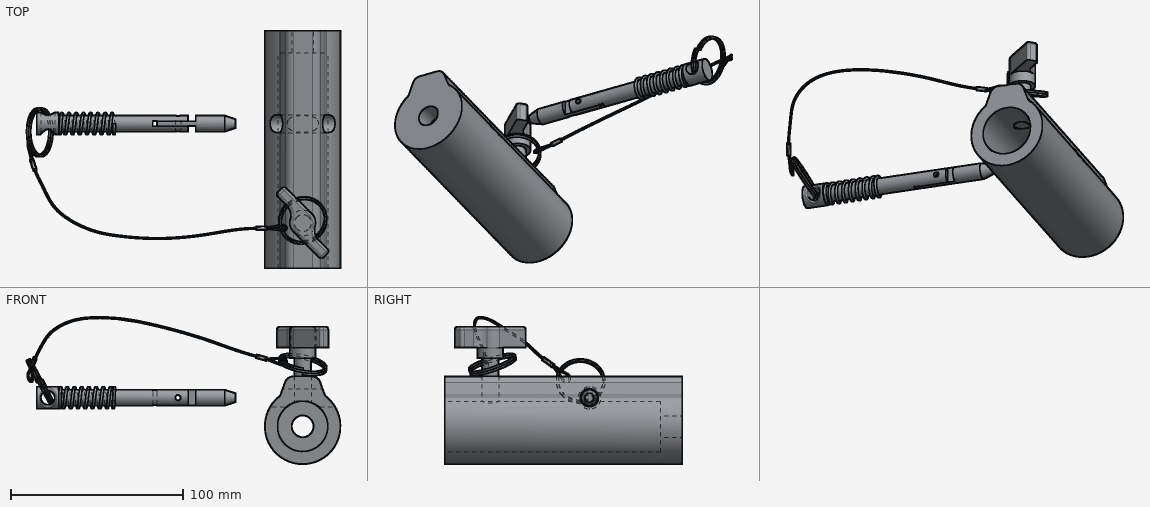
import cadquery as cq
import math


HOUSING_LENGTH = 138.0
HOUSING_RADIUS = 22.0
RIDGE_TOP_Z = 29.0
RIDGE_HALF_WIDTH = 9.0
RIDGE_FLANK_ANGLE = 20.0
RIDGE_TOP_FILLET = 5.0
RIDGE_ROOT_FILLET = 2.5
BORE_DIAMETER = 29.2
END_HOLE_DIAMETER = 12.5
END_WALL = 13.0
CROSS_HOLE_DIAMETER = 10.4
PIN_Y = 15.0
PIN_Z = 16.6

KNOB_Y = -42.5
KNOB_BASE_Z = 45.7
KNOB_HEIGHT = 12.1
HUB_DIAMETER = 15.0
WING_WIDTH = 7.0
WING_REACH = 22.8
WING_ANGLE = -45.0
WING_ROOT_FILLET = 8.0
WING_CORNER_FILLET = 1.8
KNOB_TOP_FILLET = 1.7
COLLAR_LENGTH = 6.2
STUD_DIAMETER = 9.8
STUD_END_Z = BORE_DIAMETER / 2

PIN_DIAMETER = 9.5
HEAD_DIAMETER = 13.0
HEAD_START_X = -154.3
HEAD_LENGTH = 12.7
HEAD_HOLE_X = -147.8
HEAD_HOLE_DIAMETER = 8.0
HEAD_HOLE_ROUNDING = 1.0
SLOT_START_X = -86.8
SLOT_WIDTH = 3.0
TONGUE_START_X = -84.5
PIVOT_X = -72.3
PIVOT_DIAMETER = 3.0
PIN_END_X = -66.4
TIP_START_X = -62.0
TAPER_START_X = -45.3
TIP_END_X = -38.9
TIP_END_DIAMETER = 5.2

SPRING_WIRE = 1.6
SPRING_PITCH = 4.2
SPRING_TURNS = 8.5
SPRING_POINTS_PER_TURN = 12
SPRING_RADIUS = (HEAD_DIAMETER - SPRING_WIRE) / 2

RING_WIRE = 1.35
RING_TURN_GAP = 0.03
RING_OUTER_DIAMETER = 28.4
RING_PITCH = RING_WIRE + RING_TURN_GAP
RING_TURNS = 2
RING_RADIUS = (RING_OUTER_DIAMETER - RING_WIRE) / 2
PIN_RING_CENTRE = (-152.45, 9.9, 26.3)
PIN_RING_TILT = 63.0
PIN_RING_START = (0, 1, 0)
KNOB_RING_CENTRE = (0.1, -41.1, 36.1)
KNOB_RING_SLOPE_X = -0.2
KNOB_RING_SLOPE_Y = 0.33
KNOB_RING_START = (0, -1, -KNOB_RING_SLOPE_Y)

CABLE_DIAMETER = 1.0
FERRULE_DIAMETER = 2.3
LOOP_RADIUS = 2.4
KNOB_FERRULE_OUTER = (-26.8, -45.7, 40.6)
KNOB_FERRULE_INNER = (-20.8, -45.6, 39.0)
KNOB_LOOP_CENTRE = (-11.9, -45.4, 37.6)
KNOB_LOOP_SIDE = (0, -0.6, 0.8)
PIN_FERRULE_OUTER = (-155.2, -12.0, 39.4)
PIN_FERRULE_INNER = (-157.2, -5.9, 35.0)
PIN_LOOP_CENTRE = (-158.1, 1.3, 28.3)
PIN_LOOP_SIDE = (0.52, -0.54, -0.67)
CABLE_WAYPOINTS = [
    (-56.0, -49.3, 50.3),
    (-81.3, -51.6, 57.6),
    (-107.0, -50.1, 62.5),
    (-118.5, -48.0, 63.07),
    (-132.2, -42.5, 61.6),
    (-143.7, -33.7, 56.3),
    (-150.9, -21.2, 47.7),
]


def rod_along_x(start, end, diameter):
    return cq.Workplane("YZ", origin=(start, PIN_Y, PIN_Z)).circle(diameter / 2).extrude(end - start)


def make_housing():
    flank = math.radians(RIDGE_FLANK_ANGLE)
    foot_half_width = RIDGE_HALF_WIDTH + RIDGE_TOP_Z * math.tan(flank)
    body = cq.Workplane("XZ").circle(HOUSING_RADIUS).extrude(HOUSING_LENGTH / 2, both=True)
    ridge = (
        cq.Workplane("XZ")
        .polyline([
            (-foot_half_width, 0),
            (-RIDGE_HALF_WIDTH, RIDGE_TOP_Z),
            (RIDGE_HALF_WIDTH, RIDGE_TOP_Z),
            (foot_half_width, 0),
        ])
        .close()
        .extrude(HOUSING_LENGTH / 2, both=True)
    )
    body = body.union(ridge)
    root_edges = cq.selectors.BoxSelector(
        (-HOUSING_RADIUS, -1, HOUSING_RADIUS / 2), (HOUSING_RADIUS, 1, HOUSING_RADIUS)
    )
    top_edges = cq.selectors.BoxSelector(
        (-HOUSING_RADIUS, -1, RIDGE_TOP_Z - 1), (HOUSING_RADIUS, 1, RIDGE_TOP_Z + 1)
    )
    body = body.edges("|Y").edges(top_edges).fillet(RIDGE_TOP_FILLET)
    body = body.edges("|Y").edges(root_edges).fillet(RIDGE_ROOT_FILLET)

    front = cq.Workplane("XZ", origin=(0, -HOUSING_LENGTH / 2, 0))
    bore = front.circle(BORE_DIAMETER / 2).extrude(-(HOUSING_LENGTH - END_WALL))
    end_hole = front.circle(END_HOLE_DIAMETER / 2).extrude(-HOUSING_LENGTH)
    cross_hole = rod_along_x(-HOUSING_RADIUS, HOUSING_RADIUS, CROSS_HOLE_DIAMETER)
    stud_hole = cq.Workplane("XY", origin=(0, KNOB_Y, 0)).circle(STUD_DIAMETER / 2).extrude(RIDGE_TOP_Z)
    return body.cut(bore).cut(end_hole).cut(cross_hole).cut(stud_hole)


def make_knob():
    hub_radius = HUB_DIAMETER / 2
    wing_offset = hub_radius - WING_WIDTH / 2
    grip = cq.Workplane("XY").circle(hub_radius).extrude(KNOB_HEIGHT)
    wing = (
        cq.Workplane("XY")
        .center(WING_REACH / 2, -wing_offset)
        .rect(WING_REACH, WING_WIDTH)
        .extrude(KNOB_HEIGHT)
        .edges("|Z and >X")
        .fillet(WING_CORNER_FILLET)
    )
    for turn in (0, 180):
        grip = grip.union(wing.rotate((0, 0, 0), (0, 0, 1), turn))

    root_w = wing_offset - WING_WIDTH / 2
    for side in (-1, 1):
        root = cq.selectors.NearestToPointSelector((side * hub_radius, -side * root_w, KNOB_HEIGHT / 2))
        grip = grip.edges("|Z").edges(root).fillet(WING_ROOT_FILLET)
    grip = grip.faces(">Z").edges().fillet(KNOB_TOP_FILLET)
    grip = grip.rotate((0, 0, 0), (0, 0, 1), WING_ANGLE).translate((0, KNOB_Y, KNOB_BASE_Z))

    underside = cq.Workplane("XY", origin=(0, KNOB_Y, KNOB_BASE_Z))
    collar = underside.circle(hub_radius).extrude(-COLLAR_LENGTH)
    stud = underside.circle(STUD_DIAMETER / 2).extrude(STUD_END_Z - KNOB_BASE_Z)
    return grip.union(collar).union(stud)


def pivot_hole():
    return (
        cq.Workplane("XZ", origin=(PIVOT_X, PIN_Y, PIN_Z))
        .circle(PIVOT_DIAMETER / 2)
        .extrude(PIN_DIAMETER, both=True)
    )


def slot_block(start, end):
    return (
        cq.Workplane("YZ", origin=(start, PIN_Y, PIN_Z))
        .rect(SLOT_WIDTH, HEAD_DIAMETER)
        .extrude(end - start)
    )


def make_pin():
    head = rod_along_x(HEAD_START_X, HEAD_START_X + HEAD_LENGTH, HEAD_DIAMETER)
    ring_hole = (
        cq.Workplane("XZ", origin=(HEAD_HOLE_X, PIN_Y, PIN_Z))
        .circle(HEAD_HOLE_DIAMETER / 2)
        .extrude(HEAD_DIAMETER, both=True)
    )
    head = head.cut(ring_hole)
    hole_box = cq.selectors.BoxSelector(
        (HEAD_HOLE_X - 1, PIN_Y - HEAD_DIAMETER, PIN_Z - 1),
        (HEAD_HOLE_X + 1, PIN_Y + HEAD_DIAMETER, PIN_Z + 1),
    )
    head = head.edges(hole_box).fillet(HEAD_HOLE_ROUNDING)
    shank = rod_along_x(HEAD_START_X + HEAD_LENGTH, PIN_END_X, PIN_DIAMETER)
    slot = slot_block(SLOT_START_X, PIN_END_X)
    return head.union(shank).cut(slot).cut(pivot_hole())


def make_tip():
    nose = rod_along_x(TIP_START_X, TAPER_START_X, PIN_DIAMETER)
    taper = (
        nose.faces(">X").workplane()
        .circle(PIN_DIAMETER / 2)
        .workplane(offset=TIP_END_X - TAPER_START_X)
        .circle(TIP_END_DIAMETER / 2)
        .loft(combine=False)
    )
    tongue = rod_along_x(TONGUE_START_X, TIP_START_X, PIN_DIAMETER).intersect(
        slot_block(TONGUE_START_X, TIP_START_X)
    )
    return nose.union(taper).union(tongue).cut(pivot_hole())


def spring_advance(turn):
    """Axial advance in pitches: the first and last turns close up smoothly, the rest are even."""
    if turn < 1:
        return turn ** 2 / 2
    if turn > SPRING_TURNS - 1:
        return SPRING_TURNS - 1 - (SPRING_TURNS - turn) ** 2 / 2
    return turn - 0.5


def spring_point(turn):
    start_x = HEAD_START_X + HEAD_LENGTH + SPRING_WIRE / 2
    angle = 2 * math.pi * turn
    return (
        start_x + SPRING_PITCH * spring_advance(turn),
        PIN_Y - SPRING_RADIUS * math.sin(angle),
        PIN_Z - SPRING_RADIUS * math.cos(angle),
    )


def make_spring():
    count = round(SPRING_TURNS * SPRING_POINTS_PER_TURN)
    points = [cq.Vector(*spring_point(SPRING_TURNS * i / count)) for i in range(count + 1)]
    path = cq.Workplane("XY").newObject([cq.Wire.assembleEdges([cq.Edge.makeSpline(points)])])
    section = cq.Workplane(cq.Plane(points[0], normal=(0, -1, 0)))
    return section.circle(SPRING_WIRE / 2).sweep(path, isFrenet=True)


def make_split_ring(centre, normal, start_direction):
    height = RING_PITCH * RING_TURNS
    helix = cq.Wire.makeHelix(RING_PITCH, height, RING_RADIUS)
    coil = (
        cq.Workplane("XZ", origin=(RING_RADIUS, 0, 0))
        .circle(RING_WIRE / 2)
        .sweep(cq.Workplane("XY").newObject([helix]), isFrenet=True)
        .translate((0, 0, -height / 2))
    )
    frame = cq.Plane(origin=centre, xDir=start_direction, normal=normal)
    return cq.Workplane("XY").newObject([coil.val().moved(cq.Location(frame))])


def make_pin_ring():
    tilt = math.radians(PIN_RING_TILT)
    return make_split_ring(PIN_RING_CENTRE, (math.sin(tilt), 0, math.cos(tilt)), PIN_RING_START)


def make_knob_ring():
    normal = (-KNOB_RING_SLOPE_X, -KNOB_RING_SLOPE_Y, 1)
    return make_split_ring(KNOB_RING_CENTRE, normal, KNOB_RING_START)


def make_loop(apex, centre, side):
    """A teardrop of cable: two straight strands from the apex, joined by a round end."""
    apex = cq.Vector(*apex)
    centre = cq.Vector(*centre)
    length = (centre - apex).Length
    plane = cq.Plane(origin=apex, xDir=centre - apex, normal=(centre - apex).cross(cq.Vector(*side)))
    tangent_x = length - LOOP_RADIUS ** 2 / length
    tangent_y = LOOP_RADIUS * math.sqrt(1 - (LOOP_RADIUS / length) ** 2)
    outline = (
        cq.Workplane(plane)
        .moveTo(0, 0)
        .lineTo(tangent_x, -tangent_y)
        .threePointArc((length + LOOP_RADIUS, 0), (tangent_x, tangent_y))
        .lineTo(0, 0)
    )
    strand = plane.toWorldCoords((tangent_x, -tangent_y)) - apex
    section = cq.Workplane(cq.Plane(origin=apex, normal=strand))
    return section.circle(CABLE_DIAMETER / 2).sweep(outline, transition="right")


def make_ferrule(start, end):
    start = cq.Vector(*start)
    axis = cq.Vector(*end) - start
    tube = cq.Workplane(cq.Plane(origin=start, normal=axis))
    return tube.circle(FERRULE_DIAMETER / 2).extrude(axis.Length)


def make_cable():
    points = [cq.Vector(*p) for p in [KNOB_FERRULE_OUTER, *CABLE_WAYPOINTS, PIN_FERRULE_OUTER]]
    start_axis = points[0] - cq.Vector(*KNOB_FERRULE_INNER)
    end_axis = cq.Vector(*PIN_FERRULE_INNER) - points[-1]
    span = cq.Edge.makeSpline(points, tangents=[start_axis.normalized(), end_axis.normalized()])
    path = cq.Wire.assembleEdges([
        cq.Edge.makeLine(cq.Vector(*KNOB_FERRULE_INNER), points[0]),
        span,
        cq.Edge.makeLine(points[-1], cq.Vector(*PIN_FERRULE_INNER)),
    ])
    section = cq.Workplane(cq.Plane(origin=KNOB_FERRULE_INNER, normal=start_axis))
    run = section.circle(CABLE_DIAMETER / 2).sweep(cq.Workplane("XY").newObject([path]))
    knob_loop = make_loop(KNOB_FERRULE_INNER, KNOB_LOOP_CENTRE, KNOB_LOOP_SIDE)
    pin_loop = make_loop(PIN_FERRULE_INNER, PIN_LOOP_CENTRE, PIN_LOOP_SIDE)
    return run.union(knob_loop).union(pin_loop)


housing = make_housing()
knob = make_knob()
pin = make_pin()
tip = make_tip()
spring = make_spring()
pin_ring = make_pin_ring()
knob_ring = make_knob_ring()
cable = make_cable()
knob_ferrule = make_ferrule(KNOB_FERRULE_OUTER, KNOB_FERRULE_INNER).cut(cable)
pin_ferrule = make_ferrule(PIN_FERRULE_OUTER, PIN_FERRULE_INNER).cut(cable)

bodies = [housing, knob, pin, tip, spring, pin_ring, knob_ring, cable, knob_ferrule, pin_ferrule]
result = cq.Compound.makeCompound([body.val() for body in bodies])